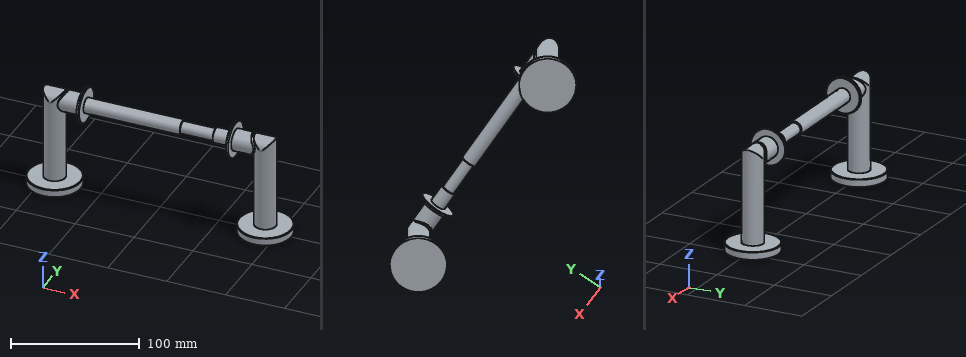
import cadquery as cq
overall_length = 223.27
overall_height = 91.59

base_diameter = 44.45
base_thickness = 6.5
base_edge_chamfer = 0.5

post_radius = 9.0
groove_radius = 11.0
neck_radius = 7.0

collar_diameter = 30.0
collar_thickness = 2.2
collar_start = 25.0
collar_edge_chamfer = 0.6

rail_radius = 6.35
inner_rail_radius = 5.15
inner_rail_start = 70.0
inner_rail_end = 42.0

post_x = (overall_length - base_diameter) / 2
axis_height = overall_height - collar_diameter / 2


def rod_along_x(radius, x_start, x_end):
    """Cylinder on the rail axis between two X positions."""
    rod = cq.Workplane("YZ", origin=(x_start, 0, axis_height))
    return rod.circle(radius).extrude(x_end - x_start)


def make_base():
    base = cq.Workplane("XY").center(post_x, 0).circle(base_diameter / 2).extrude(base_thickness)
    return base.faces(">Z").edges().chamfer(base_edge_chamfer)


def make_post():
    """Upright whose top is rounded over by a cylinder lying along X."""
    column_top = axis_height + post_radius
    column = cq.Workplane("XY").center(post_x, 0).circle(post_radius).extrude(column_top)
    cap = rod_along_x(post_radius, post_x - post_radius, post_x + post_radius)
    below_axis = (
        cq.Workplane("XY")
        .center(post_x, 0)
        .rect(2 * post_radius, 2 * post_radius)
        .extrude(axis_height)
    )
    return column.intersect(cap.union(below_axis))


def make_arm():
    """Arm with a concave end that leaves a narrow groove around the post."""
    collar_x = post_x - collar_start
    arm = rod_along_x(post_radius, collar_x, post_x)
    clearance = cq.Workplane("XY").center(post_x, 0).circle(groove_radius).extrude(overall_height)
    neck = rod_along_x(neck_radius, collar_x, post_x)
    return arm.cut(clearance).union(neck)


def make_collar():
    collar_x = post_x - collar_start
    collar = rod_along_x(collar_diameter / 2, collar_x - collar_thickness, collar_x)
    return collar.faces("<X").edges().chamfer(collar_edge_chamfer)


def make_rail():
    """Outer tubes from both ends joined by the thinner inner rod."""
    inner_start_x = post_x - inner_rail_start
    inner_end_x = post_x - inner_rail_end
    collar_x = post_x - collar_start
    long_tube = rod_along_x(rail_radius, -collar_x, inner_start_x)
    inner_rod = rod_along_x(inner_rail_radius, inner_start_x, inner_end_x)
    short_tube = rod_along_x(rail_radius, inner_end_x, collar_x)
    return long_tube.union(inner_rod).union(short_tube)


right_end = make_base().union(make_post()).union(make_arm()).union(make_collar())
left_end = right_end.mirror("YZ")

result = right_end.union(left_end).union(make_rail())